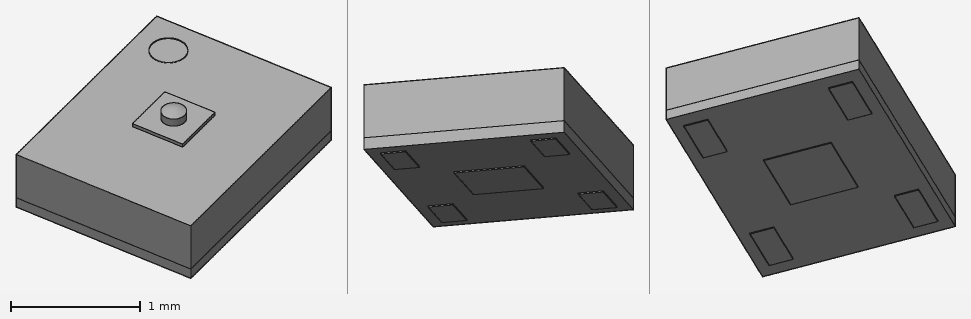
import cadquery as cq

length_x = 1.6
length_y = 2.0

pad_thickness = 0.01
substrate_thickness = 0.095
cover_thickness = 0.43

centre_pad_side = 0.56
corner_pad_x = 0.2
corner_pad_y = 0.4
corner_pad_margin_x = 0.1
corner_pad_margin_y = 0.115

mark_diameter = 0.3
mark_edge_distance = 0.3
mark_depth = 0.008

plate_side = 0.46
plate_thickness = 0.03
button_diameter = 0.2
button_side_height = 0.07
total_height = 0.66

substrate_bottom = pad_thickness
cover_bottom = substrate_bottom + substrate_thickness
cover_top = cover_bottom + cover_thickness
plate_top = cover_top + plate_thickness
dome_base = plate_top + button_side_height


def make_block(size_x, size_y, height, bottom, centre=(0, 0)):
    """Rectangular block standing on the level `bottom`."""
    return (
        cq.Workplane("XY", origin=(*centre, bottom))
        .rect(size_x, size_y)
        .extrude(height)
    )


def make_corner_pad(side_x, side_y):
    """Contact pad in the corner given by the signs of X and Y."""
    centre_x = side_x * (length_x / 2 - corner_pad_margin_x - corner_pad_x / 2)
    centre_y = side_y * (length_y / 2 - corner_pad_margin_y - corner_pad_y / 2)
    return make_block(corner_pad_x, corner_pad_y, pad_thickness, 0, (centre_x, centre_y))


def make_cover():
    """Cover block with the orientation mark in its -X, +Y corner."""
    mark = (
        cq.Workplane("XY", origin=(0, 0, cover_top))
        .center(mark_edge_distance - length_x / 2, length_y / 2 - mark_edge_distance)
        .circle(mark_diameter / 2)
        .extrude(-mark_depth)
    )
    return make_block(length_x, length_y, cover_thickness, cover_bottom).cut(mark).solids()


def make_actuator():
    """Square plate and domed button in one piece."""
    button_radius = button_diameter / 2
    dome_height = total_height - dome_base
    dome_radius = (button_radius**2 + dome_height**2) / (2 * dome_height)
    dome_centre = total_height - dome_radius

    plate = make_block(plate_side, plate_side, plate_thickness, cover_top)
    dome_sphere = cq.Workplane("XY", origin=(0, 0, dome_centre)).sphere(dome_radius)
    button = (
        cq.Workplane("XY", origin=(0, 0, plate_top))
        .circle(button_radius)
        .extrude(total_height - plate_top)
        .intersect(dome_sphere)
    )
    return plate.union(button).solids()


substrate = make_block(length_x, length_y, substrate_thickness, substrate_bottom)
cover = make_cover()
actuator = make_actuator()
centre_pad = make_block(centre_pad_side, centre_pad_side, pad_thickness, 0)
corner_pads = [make_corner_pad(side_x, side_y) for side_x in (-1, 1) for side_y in (-1, 1)]

result = cq.Compound.makeCompound([
    substrate.val(),
    cover.val(),
    actuator.val(),
    centre_pad.val(),
    *[pad.val() for pad in corner_pads],
])